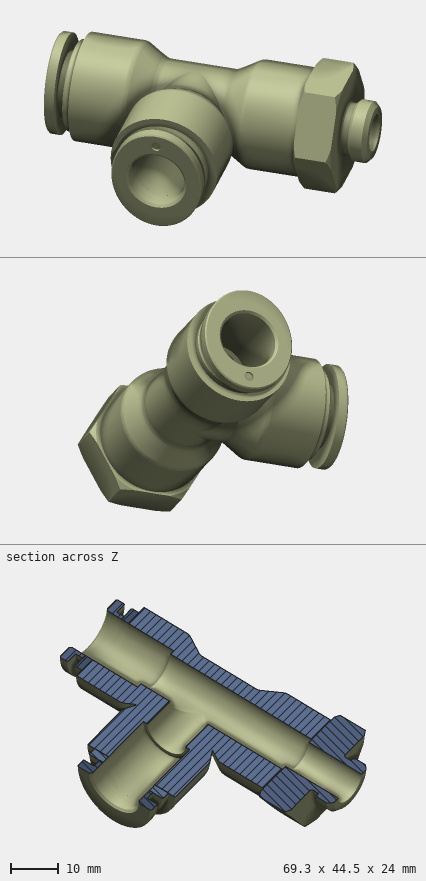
import cadquery as cq
import math


port_reach = 30.6
flange_thickness = 2.2
button_length = 4.0
sleeve_length = 1.9
flange_width = 19.6
flange_height = 22.5
flange_chamfer = 0.3
button_neck_diameter = 14.2
tube_bore_diameter = 12.2
bore_mouth_diameter = 13.2
sleeve_diameter = 19.6
sleeve_chamfer = 0.2
mark_diameter = 2.0
mark_depth = 0.5
mark_offset = 8.5

sleeve_face = port_reach - button_length
body_face = sleeve_face - sleeve_length

body_diameter = 23.2
neck_diameter = 17.3
shoulder_start = 12.75
shoulder_angle = 30
shoulder_fillet = 2.0
edge_margin = 0.1
flow_bore_diameter = 10.0
tube_stop = shoulder_start
shoulder_drop = (body_diameter - neck_diameter) / 2
shoulder_end = shoulder_start - shoulder_drop / math.tan(math.radians(shoulder_angle))

run_end = 24.7
hex_flats = 24.0
hex_length = 8.1
hex_chamfer_diameter = 25.2
hex_chamfer_angle = 30
stud_bore_diameter = 8.0
stud_neck_diameter = 11.2
stud_neck_length = 1.8
neck_root_chamfer = 0.3
head_diameter = 13.2
head_rear_diameter = 12.2
head_rear_chamfer = 0.55
head_tip_chamfer = 1.0
overall_length = 69.3
stud_tip = overall_length - port_reach
hex_corners = hex_flats / math.cos(math.pi / 6)
hex_face = run_end + hex_length


def rod(diameter, start, end):
    """Cylinder on the X axis between two X positions."""
    return cq.Workplane("YZ", origin=(start, 0, 0)).circle(diameter / 2).extrude(end - start)


def turned(points):
    """Solid turned about the X axis from (x, radius) points."""
    return cq.Workplane("XY").polyline(points).close().revolve(360, (0, 0, 0), (1, 0, 0))


def to_branch(part):
    """Swing a part from the -X port onto the -Y port."""
    return part.rotate((0, 0, 0), (0, 0, 1), 90)


def fillet_ring(arm, distance, radius):
    """Round the circular edge of an arm at a distance along -X."""
    reach = radius + edge_margin
    band = cq.selectors.BoxSelector(
        (-distance - edge_margin, -reach, -reach),
        (-distance + edge_margin, reach, reach),
        boundingbox=True,
    )
    return arm.edges(band).fillet(shoulder_fillet)


def socket_arm(length):
    """Solid arm along -X: neck, sharp-rooted conical shoulder and socket cylinder."""
    neck_radius = neck_diameter / 2
    body_radius = body_diameter / 2
    arm = turned([
        (0, 0),
        (0, neck_radius),
        (-shoulder_end, neck_radius),
        (-shoulder_start, body_radius),
        (-length, body_radius),
        (-length, 0),
    ])
    return fillet_ring(arm, shoulder_start, body_radius)


def run_arm(length):
    """Arm of the run, which also has a rounded shoulder root."""
    return fillet_ring(socket_arm(length), shoulder_end, neck_diameter / 2)


def make_tee_body():
    """Tee with two tube sockets and a plain end for the stud."""
    left = run_arm(body_face)
    right = run_arm(run_end).mirror("YZ")
    branch = to_branch(socket_arm(body_face))
    flow_bore = rod(flow_bore_diameter, -body_face, 0)
    tube_bore = rod(tube_bore_diameter, -body_face, -tube_stop)
    socket_bore = flow_bore.union(tube_bore)
    run_bore = rod(flow_bore_diameter, 0, run_end)
    body = left.union(right).union(branch)
    return body.cut(run_bore).cut(socket_bore).cut(to_branch(socket_bore))


def make_sleeve():
    """Retaining ring on the socket face of the -X port."""
    ring = rod(sleeve_diameter, -sleeve_face, -body_face)
    ring = ring.faces("<X").edges().chamfer(sleeve_chamfer)
    return ring.cut(rod(tube_bore_diameter, -sleeve_face, -body_face))


def make_button():
    """Release button of the -X port, with its mark below the bore."""
    flange = (
        cq.Workplane("YZ", origin=(-port_reach, 0, 0))
        .ellipse(flange_width / 2, flange_height / 2)
        .extrude(flange_thickness)
        .faces("<X").edges().chamfer(flange_chamfer)
    )
    neck = rod(button_neck_diameter, flange_thickness - port_reach, -sleeve_face)
    bore = rod(tube_bore_diameter, -port_reach, -sleeve_face)
    mouth_radius = bore_mouth_diameter / 2
    mouth_depth = mouth_radius - tube_bore_diameter / 2
    mouth = turned([
        (-port_reach, 0),
        (-port_reach, mouth_radius),
        (mouth_depth - port_reach, tube_bore_diameter / 2),
        (mouth_depth - port_reach, 0),
    ])
    mark = rod(mark_diameter, -port_reach, mark_depth - port_reach).translate((0, 0, -mark_offset))
    return flange.union(neck).cut(bore).cut(mouth).cut(mark)


def make_hex():
    """Hexagon with corners on Y and both ends chamfered conically."""
    prism = cq.Workplane("YZ", origin=(run_end, 0, 0)).polygon(6, hex_corners).extrude(hex_length)
    face_radius = hex_chamfer_diameter / 2
    corner_radius = hex_corners / 2
    drop = (corner_radius - face_radius) * math.tan(math.radians(hex_chamfer_angle))
    envelope = turned([
        (run_end, 0),
        (run_end, face_radius),
        (run_end + drop, corner_radius),
        (hex_face - drop, corner_radius),
        (hex_face, face_radius),
        (hex_face, 0),
    ])
    return prism.intersect(envelope)


def make_stud():
    """Male stud: hexagon, undercut neck and chamfered head."""
    neck_radius = stud_neck_diameter / 2
    head_radius = head_diameter / 2
    head_start = hex_face + stud_neck_length
    spigot = turned([
        (hex_face, 0),
        (hex_face, neck_radius + neck_root_chamfer),
        (hex_face + neck_root_chamfer, neck_radius),
        (head_start, neck_radius),
        (head_start, head_rear_diameter / 2),
        (head_start + head_rear_chamfer, head_radius),
        (stud_tip - head_tip_chamfer, head_radius),
        (stud_tip, head_radius - head_tip_chamfer),
        (stud_tip, 0),
    ])
    return make_hex().union(spigot).cut(rod(stud_bore_diameter, run_end, stud_tip))


tee_body = make_tee_body()
stud = make_stud()

sleeves = []
buttons = []
for on_branch in (False, True):
    sleeve = make_sleeve()
    button = make_button()
    if on_branch:
        sleeve = to_branch(sleeve)
        button = to_branch(button.rotate((0, 0, 0), (1, 0, 0), 180))
    sleeves.append(sleeve.solids().val())
    buttons.append(button.solids().val())

result = cq.Compound.makeCompound([
    tee_body.solids().val(),
    stud.solids().val(),
    *sleeves,
    *buttons,
])